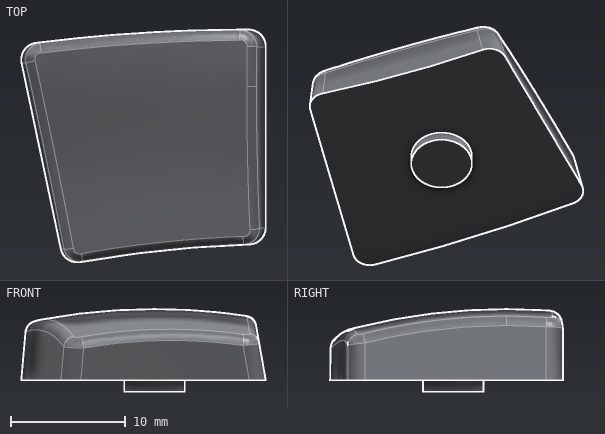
import cadquery as cq
import math

right_x = 9.72
back_right = (right_x, 10.17)
front_right = (right_x, -8.57)
front_left = (-7.88, -10.4)
back_left = (-11.95, 8.8)
back_middle = (-0.73, 9.91)
front_middle = (0.47, -9.15)

right_draft = 10.0
left_draft = 5.0

crown_height = 6.24
crown_y = 5.23
dome_radius = 53.83

corner_radius = 1.5
rim_radius = 1.0

peg_diameter = 5.3
peg_length = 1.0
peg_y = 0.6

block_height = crown_height + 1.07


def draft_wedge(start, end, draft):
    """Wedge that leans a side inward; the body lies to the left of start -> end."""
    dx = end[0] - start[0]
    dy = end[1] - start[1]
    length = math.hypot(dx, dy)
    overhang = length / 2
    inset = block_height * math.tan(math.radians(draft))
    side = cq.Plane(
        origin=(start[0], start[1], 0),
        xDir=(dy, -dx, 0),
        normal=(-dx, -dy, 0),
    )
    profile = cq.Workplane(side).workplane(offset=-length - overhang).polyline(
        [(0, 0), (inset, 0), (inset, block_height), (-inset, block_height)]
    )
    return profile.close().extrude(length + 2 * overhang)


def sharp_block():
    block = (
        cq.Workplane("XY")
        .moveTo(*front_left)
        .threePointArc(front_middle, front_right)
        .lineTo(*back_right)
        .threePointArc(back_middle, back_left)
        .close()
        .extrude(block_height)
    )
    block = block.cut(draft_wedge(front_right, back_right, right_draft))
    return block.cut(draft_wedge(back_left, front_left, left_draft))


def cap_body():
    dome = cq.Workplane("XY").sphere(dome_radius).translate((0, crown_y, crown_height - dome_radius))
    body = sharp_block().edges("not(#Z or <Z or >Z)").fillet(corner_radius)
    body = body.intersect(dome)
    return body.faces(">Z").edges().fillet(rim_radius)


peg = cq.Workplane("XY").center(0, peg_y).circle(peg_diameter / 2).extrude(-peg_length)

result = cap_body().union(peg)